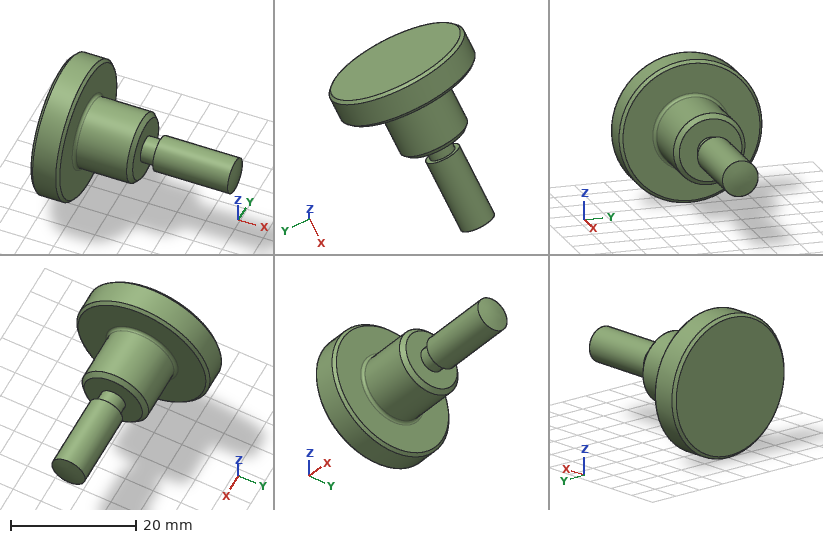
import cadquery as cq

total_length = 30.95

head_diameter = 24.0
head_thickness = 5.02
head_chamfer = 0.5

hub_diameter = head_diameter / 2
hub_end = 15.02
hub_chamfer = 0.75
root_fillet = 0.5

neck_diameter = 4.4
neck_end = 17.52

pin_diameter = head_diameter / 4
dome_height = 0.4

head_radius = head_diameter / 2
hub_radius = hub_diameter / 2
neck_radius = neck_diameter / 2
pin_radius = pin_diameter / 2
pin_end = total_length - dome_height

dome_radius = (pin_radius**2 + dome_height**2) / (2 * dome_height)
dome_mid_y = pin_radius / 2
dome_mid_x = total_length - dome_radius + (dome_radius**2 - dome_mid_y**2) ** 0.5

profile = (
    cq.Workplane("XY")
    .moveTo(0, 0)
    .lineTo(0, head_radius - head_chamfer)
    .lineTo(head_chamfer, head_radius)
    .lineTo(head_thickness - head_chamfer, head_radius)
    .lineTo(head_thickness, head_radius - head_chamfer)
    .lineTo(head_thickness, hub_radius + root_fillet)
    .radiusArc((head_thickness + root_fillet, hub_radius), -root_fillet)
    .lineTo(hub_end - hub_chamfer, hub_radius)
    .lineTo(hub_end, hub_radius - hub_chamfer)
    .lineTo(hub_end, neck_radius)
    .lineTo(neck_end, neck_radius)
    .lineTo(neck_end, pin_radius)
    .lineTo(pin_end, pin_radius)
    .threePointArc((dome_mid_x, dome_mid_y), (total_length, 0))
    .close()
)

result = profile.revolve(360, (0, 0, 0), (1, 0, 0))